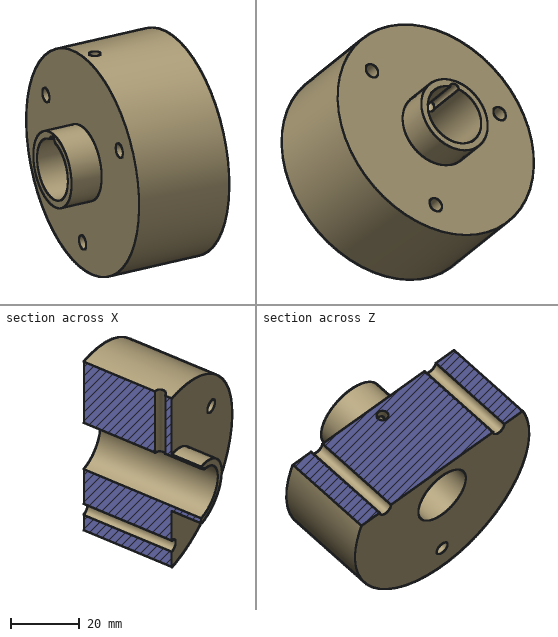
import cadquery as cq

body_diameter = 68
body_length = 30.0

hub_diameter = 23.0
hub_length = 10.0
bore_diameter = 18.5

mount_hole_diameter = 4.3
mount_hole_count = 3
mount_circle_radius = 25.5

radial_hole_diameter = 3.3
radial_hole_setback = 4.0

groove_diameter = 3.0
groove_axis_height = 9.0
groove_length = 13.0


def cylinder_along_y(diameter, y_start, length, z=0):
    """Solid cylinder running from y_start towards +Y."""
    return cq.Workplane(
        cq.Solid.makeCylinder(diameter / 2, length, cq.Vector(0, y_start, z), cq.Vector(0, 1, 0))
    )


def make_body():
    """Body and hub with the bore through both."""
    body = cylinder_along_y(body_diameter, 0, body_length)
    hub = cylinder_along_y(hub_diameter, -hub_length, hub_length)
    bore = cylinder_along_y(bore_diameter, -hub_length, hub_length + body_length)
    return body.union(hub).cut(bore)


def make_mount_holes():
    """Evenly spaced holes through the full body length."""
    circle_plane = cq.Workplane("XZ")
    centres = circle_plane.polarArray(mount_circle_radius, -90, 360, mount_hole_count)
    return centres.circle(mount_hole_diameter / 2).extrude(-body_length)


def make_radial_hole():
    """Vertical hole from the bore axis out through the top of the body."""
    plane = cq.Workplane("XY").center(0, radial_hole_setback)
    return plane.circle(radial_hole_diameter / 2).extrude(body_diameter / 2)


def make_groove():
    """Cutter for the groove at the top of the bore, starting at the hub face."""
    return cylinder_along_y(groove_diameter, -hub_length, groove_length, z=groove_axis_height)


result = make_body().cut(make_mount_holes()).cut(make_radial_hole()).cut(make_groove())